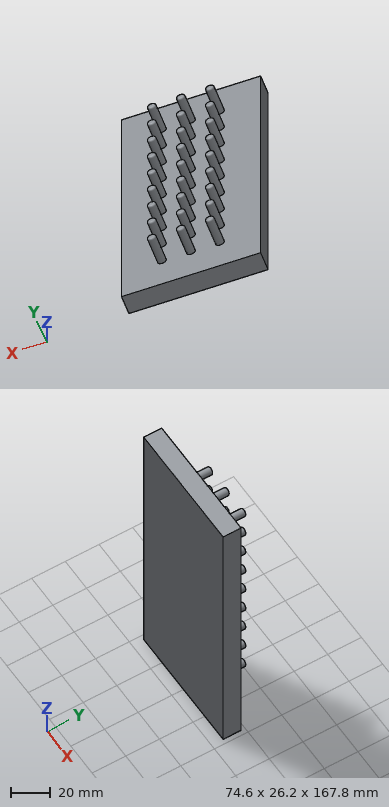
import cadquery as cq

plate_width = 74.6
plate_height = 167.85
overall_depth = 26.23

pin_diameter = 4.65
pin_length = 15.5
pin_tip_radius = 1.0
pin_columns = 3
pin_rows = 9
pin_pitch = 15.55

plate_thickness = overall_depth - pin_length


def make_plate():
    """Plate centred in X and Z, with its pin-side face on the plane Y = 0."""
    return cq.Workplane("XY").box(
        plate_width, plate_thickness, plate_height, centered=(True, False, True)
    ).translate((0, -plate_thickness, 0))


def make_pin(x, z):
    """One pin rising along +Y from the plate, with a rounded tip."""
    return (
        cq.Workplane("XZ")
        .circle(pin_diameter / 2)
        .extrude(-pin_length)
        .faces(">Y")
        .fillet(pin_tip_radius)
        .translate((x, 0, z))
    )


def centred_positions(count):
    """Evenly pitched positions centred on zero."""
    return [(index - (count - 1) / 2) * pin_pitch for index in range(count)]


result = make_plate()
for pin_x in centred_positions(pin_columns):
    for pin_z in centred_positions(pin_rows):
        result = result.union(make_pin(pin_x, pin_z))